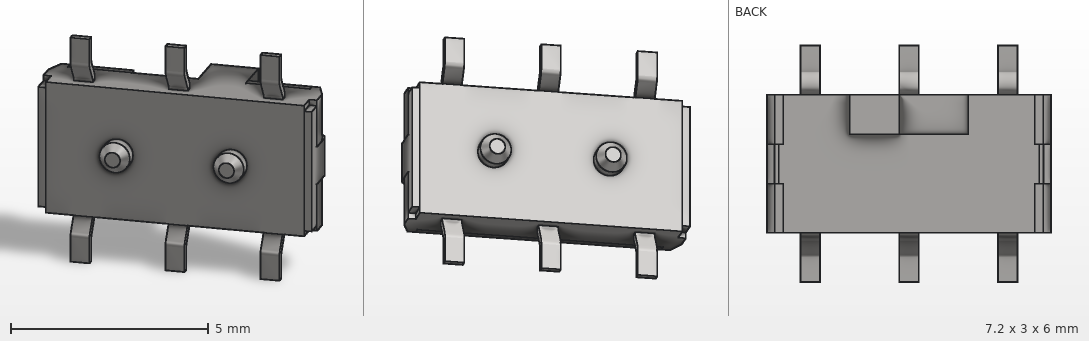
import cadquery as cq
import math

length = 7.2
depth = 1.5
height = 3.5
corner_inset = 0.2
corner_rise = 0.52

knob_left = 0.25
knob_right = 1.5
knob_height = 1.0
knob_top = 2.5

peg_spacing = 3.0
peg_diameter = 0.8
peg_length = 0.5
peg_taper = 0.2

sheet = 0.2
plate_length = 6.37
slot_left = -1.5
arm_width = 1.0
bend_radius = 0.3
foot_width = 3.2
foot_depth = 0.5

terminal_pitch = 2.5
terminal_count_per_side = 3
terminal_width = 0.5
terminal_sheet = 0.2
terminal_seat = 0.31
terminal_tip = 3.0
terminal_flat = 0.65
terminal_slope = math.radians(35)
terminal_inner_radius = 0.07


def block(x_range, y_range, z_range):
    """Box between the given limits on each axis."""
    sizes = [high - low for low, high in (x_range, y_range, z_range)]
    corner = (x_range[0], y_range[0], z_range[0])
    return cq.Workplane("XY").box(*sizes, centered=False).translate(corner)


def centred(size):
    """Limits of a span of the given size centred on zero."""
    return (-size / 2, size / 2)


def knob_block(left, right, bottom, top):
    """Block in the knob's band of heights, open at the +Z side."""
    half_height = height / 2
    return block((left, right), (bottom, top), (half_height - knob_height, half_height))


def make_slot():
    """Clearance through the plate in which the knob stands."""
    return knob_block(slot_left, knob_right, depth - sheet, depth)


def end_strips(strip_height):
    """Pair of sheet-thick strips low on the two ends."""
    outside = block(centred(length), (0, foot_depth), centred(strip_height))
    inside = block(centred(length - 2 * sheet), (0, foot_depth), centred(strip_height))
    return outside.cut(inside)


def make_cover():
    """Plate, arms and feet as one formed sheet, slotted for the knob."""
    band = block(centred(length), (0, depth), centred(arm_width))
    band = band.edges("|Z and >Y").fillet(bend_radius)
    band = band.cut(block(centred(length - 2 * sheet), (0, depth - sheet), centred(arm_width)))
    plate = block(centred(plate_length), (depth - sheet, depth), centred(height))
    return band.union(plate).union(end_strips(foot_width)).cut(make_slot())


def make_peg(x):
    """Tapered round peg standing on the mounting face."""
    peg = cq.Workplane("XZ").center(x, 0).circle(peg_diameter / 2).extrude(peg_length)
    return peg.faces("<Y").chamfer(peg_taper)


def make_housing(cover):
    """Block with the knob and pegs, relieved where the cover lies."""
    body = block(centred(length), (0, depth), centred(height))
    body = body.faces(">Y").edges("|Z").chamfer(corner_rise, corner_inset)
    body = body.cut(cover).cut(end_strips(height)).cut(make_slot())
    body = body.union(knob_block(knob_left, knob_right, depth - sheet, knob_top))
    for x in centred(peg_spacing):
        body = body.union(make_peg(x))
    return body


def make_terminal(x, side):
    """Gull-wing strip from the housing side (side = +1 for +Z, -1 for -Z) down to Y = 0."""
    root = height / 2
    half_turn = math.tan(terminal_slope / 2)
    outer_radius = terminal_inner_radius + terminal_sheet
    low_bend = terminal_tip - terminal_flat - outer_radius * half_turn
    high_bend = low_bend - terminal_seat / math.tan(terminal_slope)
    shift = terminal_sheet * half_turn
    strip = (
        cq.Workplane("YZ")
        .moveTo(terminal_seat, root)
        .lineTo(terminal_seat, high_bend)
        .lineTo(0, low_bend)
        .lineTo(0, terminal_tip)
        .lineTo(terminal_sheet, terminal_tip)
        .lineTo(terminal_sheet, low_bend + shift)
        .lineTo(terminal_seat + terminal_sheet, high_bend + shift)
        .lineTo(terminal_seat + terminal_sheet, root)
        .close()
        .extrude(terminal_width / 2, both=True)
    )

    bends = (
        (0, low_bend, outer_radius),
        (terminal_sheet, low_bend + shift, terminal_inner_radius),
        (terminal_seat, high_bend, terminal_inner_radius),
        (terminal_seat + terminal_sheet, high_bend + shift, outer_radius),
    )
    for y, z, radius in bends:
        nearest = cq.selectors.NearestToPointSelector((0, y, z))
        strip = strip.edges("|X").edges(nearest).fillet(radius)
    if side < 0:
        strip = strip.mirror("XY")
    return strip.translate((x, 0, 0))


cover = make_cover()
housing = make_housing(cover)
terminals = []
for side in (1, -1):
    for index in range(terminal_count_per_side):
        x = (index - (terminal_count_per_side - 1) / 2) * terminal_pitch
        terminals.append(make_terminal(x, side).val())

result = cq.Compound.makeCompound([housing.val(), cover.val(), *terminals])